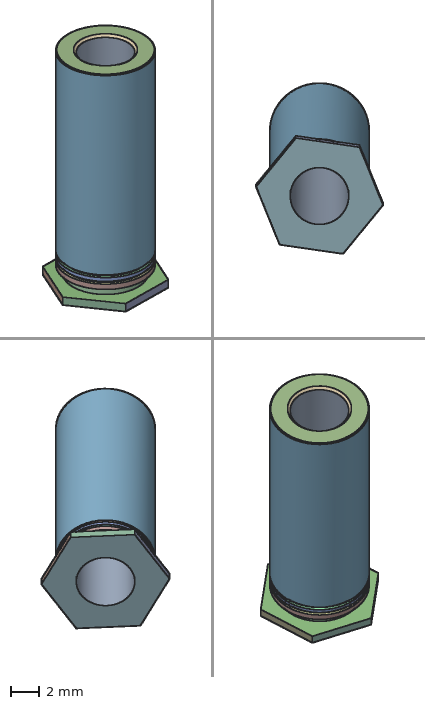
import cadquery as cq
import math

total_height = 19.05
body_diameter = 7.1
body_edge_chamfer = 0.08

head_across_flats = 7.92
head_height = 0.67

neck_diameter = 6.1
neck_height = 0.7
lower_rim_height = 0.44
groove_diameter = 6.61
groove_height = 0.23
ring_height = 0.3

bore_diameter = 4.17
bore_mouth_chamfer = 0.2

neck_top = head_height + neck_height
lower_groove_bottom = neck_top + lower_rim_height
groove_pitch = groove_height + ring_height


def make_head():
    """Hexagonal plate with two corners on the X axis."""
    across_corners = head_across_flats / math.cos(math.radians(30))
    return cq.Workplane("XY").polygon(6, across_corners).extrude(head_height)


def make_body():
    """Neck below a cylinder with a chamfered top edge."""
    neck = cq.Workplane("XY").circle(neck_diameter / 2).extrude(neck_top)
    barrel = (
        cq.Workplane("XY", origin=(0, 0, neck_top))
        .circle(body_diameter / 2)
        .extrude(total_height - neck_top)
        .faces(">Z")
        .chamfer(body_edge_chamfer)
    )
    return neck.union(barrel)


def make_groove(bottom):
    """Annular cutter for one outside groove."""
    return (
        cq.Workplane("XY", origin=(0, 0, bottom))
        .circle(body_diameter / 2)
        .circle(groove_diameter / 2)
        .extrude(groove_height)
    )


def make_bore():
    """Through-hole cutter, flared at the top mouth."""
    mouth_radius = bore_diameter / 2 + bore_mouth_chamfer
    hole = cq.Workplane("XY").circle(bore_diameter / 2).extrude(total_height)
    flare = cq.Workplane(
        cq.Solid.makeCone(
            bore_diameter / 2,
            mouth_radius,
            bore_mouth_chamfer,
            pnt=cq.Vector(0, 0, total_height - bore_mouth_chamfer),
        )
    )
    return hole.union(flare)


result = make_head().union(make_body())
for groove_index in range(2):
    result = result.cut(make_groove(lower_groove_bottom + groove_index * groove_pitch))
result = result.cut(make_bore())